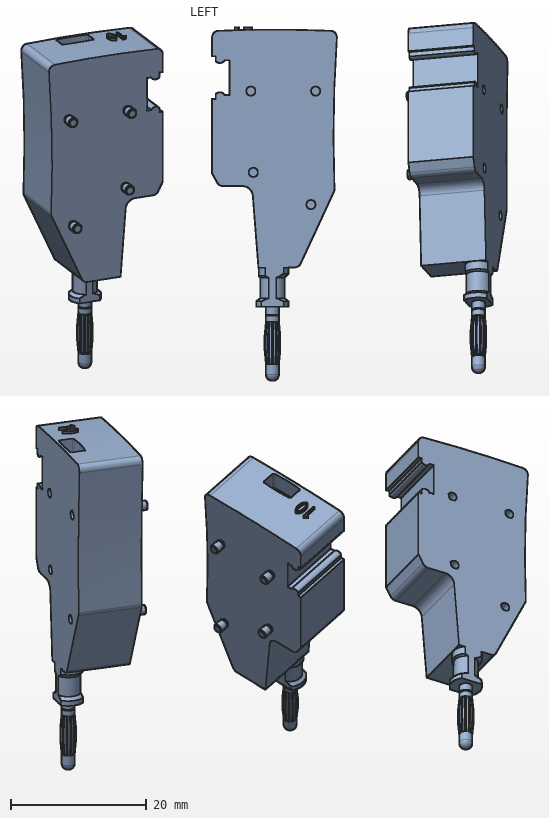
import cadquery as cq
import math


housing_width = 10.0
back_y = 8.95
front_y = -9.6
shoulder_z = 51.75
crown_z = 51.95
bottom_z = 16.8
waist_y, waist_z = -9.05, 36.05
knee_y, knee_z = -9.2, 28.15
toe_y = -3.9
heel_y = 2.1
step_y, step_z = 3.05, 28.8
chamfer_top_z = 30.7
chamfer_low_y, chamfer_low_z = 8.2, 29.35
chamfer_end_y = 7.3
chamfer_arc_y, chamfer_arc_z = 7.85, 28.95
corner_radius = 1.0
step_radius = 1.5

notch_mid_z = 44.85
notch_floor_y = 6.4
mouth_half, mouth_end_y = 3.15, 8.4
lip_half = 2.45
bump_half, bump_y = 2.15, 7.8
groove_half, groove_y = 2.55, 7.05

pin_places = [(3.2, 42.85), (-6.4, 42.85), (2.8, 30.85), (-5.7, 26.1)]
pin_radius = 0.75
pin_length = 1.8
pin_neck_length = 0.3
pin_neck_radius = 0.7
pin_chamfer = 0.15
socket_radius = 0.7
socket_depth = pin_length

window_x_min, window_x_max = 0.65, 2.95
window_y_min, window_y_max = -4.2, 1.0
window_bow = 0.13
window_depth = 3.15
window_corner_radius = 0.2

symbol_top_z = 52.25
symbol_x_min, symbol_x_max = 2.2, 4.65
symbol_line = 0.2
arrow_y = 5.0
arrow_head_length, arrow_head_height = 0.85, 0.6
ring_y, ring_height = 3.6, 1.2

collar_width = 3.5
plug_x = collar_width / 2
collar_bottom_z = 11.0
flange_radius = 2.4
boss_radius = 2.05
neck_radius = 1.85
lower_flange_z, lower_cone_z = 11.75, 12.25
upper_cone_z, upper_flange_z = 15.25, 15.9
boss_cone_z = 15.5

plug_radius = 1.0
stem_groove_radius = 0.95
stem_groove_bottom_z, stem_groove_top_z = 9.65, 9.8
bulge_radius = 1.2
cage_bottom_z, cage_top_z = 2.5, 8.75
slot_count = 12
slot_width = 0.2
slot_core_radius = 0.75


def fillet_corner(solid, y, z, radius):
    """Round the edge along X that passes closest to the point (y, z)."""
    nearest = cq.selectors.NearestToPointSelector((housing_width / 2, y, z))
    return solid.edges("|X").edges(nearest).fillet(radius)


def make_block():
    """Housing block: the side outline with its corners rounded."""
    block = (
        cq.Workplane("YZ")
        .moveTo(back_y, shoulder_z)
        .threePointArc(((back_y + front_y) / 2, crown_z), (front_y, shoulder_z))
        .threePointArc((waist_y, waist_z), (knee_y, knee_z))
        .lineTo(toe_y, bottom_z)
        .lineTo(heel_y, bottom_z)
        .lineTo(step_y, step_z)
        .lineTo(chamfer_end_y, step_z)
        .threePointArc((chamfer_arc_y, chamfer_arc_z), (chamfer_low_y, chamfer_low_z))
        .lineTo(back_y, chamfer_top_z)
        .close()
        .extrude(housing_width)
    )
    block = fillet_corner(block, back_y, shoulder_z, corner_radius)
    block = fillet_corner(block, front_y, shoulder_z, corner_radius)
    block = fillet_corner(block, knee_y, knee_z, corner_radius)
    block = fillet_corner(block, toe_y, bottom_z, corner_radius)
    return fillet_corner(block, step_y, step_z, step_radius)


def make_rail_notch():
    """Cutter for the notch: both flanks have a lip, a rounded bump and a groove."""
    return (
        cq.Workplane("YZ", origin=(0, 0, notch_mid_z))
        .moveTo(back_y, mouth_half)
        .lineTo(mouth_end_y, mouth_half)
        .lineTo(mouth_end_y, lip_half)
        .threePointArc((bump_y, bump_half), (groove_y, groove_half))
        .lineTo(notch_floor_y, groove_half)
        .lineTo(notch_floor_y, -groove_half)
        .lineTo(groove_y, -groove_half)
        .threePointArc((bump_y, -bump_half), (mouth_end_y, -lip_half))
        .lineTo(mouth_end_y, -mouth_half)
        .lineTo(back_y, -mouth_half)
        .close()
        .extrude(housing_width)
    )


def make_locking_pins():
    """Round pins standing on the far side, necked at the root and chamfered at the end."""
    base = cq.Workplane("YZ", origin=(housing_width, 0, 0)).pushPoints(pin_places)
    necks = base.circle(pin_neck_radius).extrude(pin_neck_length)
    heads = (
        cq.Workplane("YZ", origin=(housing_width + pin_neck_length, 0, 0))
        .pushPoints(pin_places)
        .circle(pin_radius)
        .extrude(pin_length - pin_neck_length)
        .faces(">X")
        .chamfer(pin_chamfer)
    )
    return necks.union(heads)


def make_sockets():
    """Cutter for the blind holes in the flat face."""
    return cq.Workplane("YZ").pushPoints(pin_places).circle(socket_radius).extrude(socket_depth)


def make_window():
    """Cutter for the blind window in the top face."""
    middle_y = (window_y_min + window_y_max) / 2
    return (
        cq.Workplane("XY", origin=(0, 0, crown_z - window_depth))
        .moveTo(window_x_min, window_y_min)
        .lineTo(window_x_max, window_y_min)
        .threePointArc((window_x_max + window_bow, middle_y), (window_x_max, window_y_max))
        .lineTo(window_x_min, window_y_max)
        .threePointArc((window_x_min - window_bow, middle_y), (window_x_min, window_y_min))
        .close()
        .extrude(window_depth)
        .edges("|Z")
        .fillet(window_corner_radius)
    )


def make_symbols():
    """Raised arrow and oval ring, rooted a little below the crown of the top face."""
    symbol_height = symbol_top_z - shoulder_z
    symbol_length = symbol_x_max - symbol_x_min
    symbol_x = (symbol_x_min + symbol_x_max) / 2
    base = cq.Workplane("XY", origin=(0, 0, shoulder_z))
    shaft = base.center(symbol_x, arrow_y).rect(symbol_length, symbol_line).extrude(symbol_height)
    head = (
        base.moveTo(symbol_x_max, arrow_y)
        .lineTo(symbol_x_max - arrow_head_length / 2, arrow_y + arrow_head_height)
        .lineTo(symbol_x_max - arrow_head_length, arrow_y)
        .close()
        .extrude(symbol_height)
    )
    ring = (
        base.center(symbol_x, ring_y)
        .ellipse(symbol_length / 2, ring_height / 2)
        .ellipse(symbol_length / 2 - symbol_line, ring_height / 2 - symbol_line)
        .extrude(symbol_height)
    )
    return shaft.union(head).union(ring)


def revolve_about_plug(profile):
    """Turn a list of (radius, Z) points about the plug axis."""
    return (
        cq.Workplane("XZ", origin=(plug_x, 0, 0))
        .polyline(profile)
        .close()
        .revolve(360, (0, 0), (0, 1))
    )


def make_collar():
    """Turned collar with two flanges, cut flat to the collar width on both X sides."""
    spool = revolve_about_plug([
        (0, collar_bottom_z),
        (flange_radius, collar_bottom_z),
        (flange_radius, lower_flange_z),
        (neck_radius, lower_cone_z),
        (neck_radius, upper_cone_z),
        (boss_radius, boss_cone_z),
        (boss_radius, bottom_z),
        (0, bottom_z),
    ])
    upper_flange = revolve_about_plug([
        (0, upper_cone_z),
        (neck_radius, upper_cone_z),
        (flange_radius, upper_flange_z),
        (flange_radius, bottom_z),
        (0, bottom_z),
    ])
    front_half = cq.Workplane("XY", origin=(0, -flange_radius, 0)).box(
        collar_width, flange_radius, bottom_z, centered=False
    )
    flats = cq.Workplane("XY").box(
        collar_width, 2 * flange_radius, bottom_z, centered=(False, True, False)
    )
    return spool.intersect(flats).union(upper_flange.intersect(front_half))


def make_housing():
    """Housing with its notch, sockets, window, pins, symbols and collar."""
    return (
        make_block()
        .cut(make_rail_notch())
        .cut(make_sockets())
        .cut(make_window())
        .union(make_locking_pins())
        .union(make_symbols())
        .union(make_collar())
    )


def make_plug():
    """Sprung plug: domed tip, barrel-shaped slotted cage and grooved stem."""
    dome_side = plug_radius * math.sqrt(0.5)
    plug = (
        cq.Workplane("XZ", origin=(plug_x, 0, 0))
        .moveTo(0, 0)
        .threePointArc((dome_side, plug_radius - dome_side), (plug_radius, plug_radius))
        .lineTo(plug_radius, cage_bottom_z)
        .threePointArc((bulge_radius, (cage_bottom_z + cage_top_z) / 2), (plug_radius, cage_top_z))
        .lineTo(plug_radius, stem_groove_bottom_z)
        .lineTo(stem_groove_radius, stem_groove_bottom_z)
        .lineTo(stem_groove_radius, stem_groove_top_z)
        .lineTo(plug_radius, stem_groove_top_z)
        .lineTo(plug_radius, collar_bottom_z)
        .lineTo(0, collar_bottom_z)
        .close()
        .revolve(360, (0, 0), (0, 1))
    )
    slot_depth = bulge_radius - slot_core_radius
    slots = (
        cq.Workplane("XY", origin=(plug_x, 0, cage_bottom_z))
        .polarArray(slot_core_radius + slot_depth / 2, 0, 360, slot_count)
        .rect(slot_depth, slot_width)
        .extrude(cage_top_z - cage_bottom_z)
    )
    return plug.cut(slots)


housing = make_housing()
plug = make_plug()
result = cq.Compound.makeCompound([housing.val(), plug.val()])